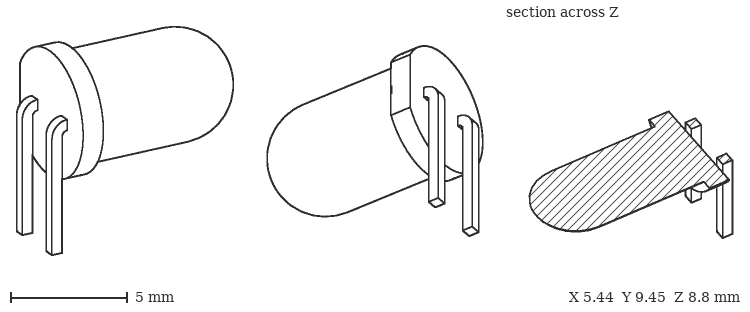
import cadquery as cq

total_length = 9.45
body_diameter = 5.0
body_radius = body_diameter / 2
flange_diameter = 5.8
flange_radius = flange_diameter / 2
flange_thickness = 1.0
flange_width = 5.44

lead_size = 0.5
lead_spacing = 2.54
lead_bend_outer_radius = 0.75
lead_bend_inner_radius = lead_bend_outer_radius - lead_size
lead_top = lead_size / 2
lead_drop = 5.9

body_tip = total_length - lead_bend_outer_radius
dome_start = body_tip - body_radius


def make_body():
    """Cylinder with a hemispherical dome, revolved about the Y axis."""
    dome_middle = body_radius * 0.5 ** 0.5
    return (
        cq.Workplane("XY")
        .lineTo(body_radius, 0)
        .lineTo(body_radius, dome_start)
        .threePointArc((dome_middle, dome_start + dome_middle), (0, body_tip))
        .close()
        .revolve(360, (0, 0), (0, 1))
    )


def make_flange():
    """Round flange with one flat on its -X side."""
    disc = cq.Workplane("XZ").circle(flange_radius).extrude(-flange_thickness)
    flat_x = flange_radius - flange_width
    kept_side = cq.Workplane("XY").box(
        flange_width, flange_thickness, flange_diameter, centered=(False, False, True)
    ).translate((flat_x, 0, 0))
    return disc.intersect(kept_side)


def make_lead(center_x):
    """Lead with a quarter-round bend centred on the flange face."""
    bend_z = lead_top - lead_bend_outer_radius
    return (
        cq.Workplane("YZ", origin=(center_x, 0, 0))
        .moveTo(0, lead_top)
        .radiusArc((-lead_bend_outer_radius, bend_z), -lead_bend_outer_radius)
        .lineTo(-lead_bend_outer_radius, -lead_drop)
        .lineTo(-lead_bend_inner_radius, -lead_drop)
        .lineTo(-lead_bend_inner_radius, bend_z)
        .radiusArc((0, bend_z + lead_bend_inner_radius), lead_bend_inner_radius)
        .close()
        .extrude(lead_size / 2, both=True)
    )


result = make_body().union(make_flange())
for side in (-1, 1):
    result = result.union(make_lead(side * lead_spacing / 2))